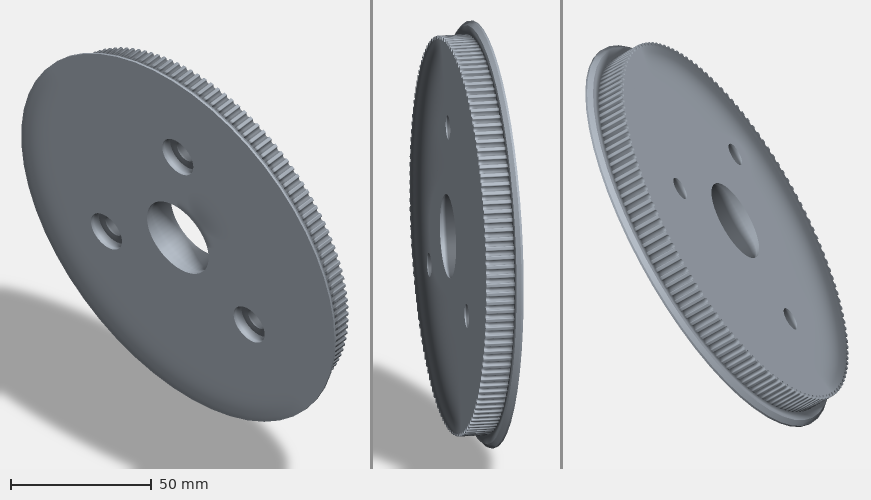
import math

import cadquery as cq

flange_diameter = 152.0
total_width = 12.5
flange_width = 2.3
flange_chamfer = 1.5

tooth_count = 135
rim_diameter = 142.5
rim_radius = rim_diameter / 2
groove_depth = 1.4
groove_radius = 0.9
tip_radius = 0.33

bore_diameter = 30.0
screw_count = 3
screw_circle_radius = 40.0
screw_hole_diameter = 8.5
counterbore_diameter = 15.0
counterbore_depth = 4.1


def rim_point(radius, angle):
    """Point at a radius and an angle measured from +Z, in the XZ plane."""
    return radius * math.sin(angle), radius * math.cos(angle)


def toothed_outline(plane):
    """Closed rim outline: round grooves and arc lands blended by tip rounds."""
    pitch_angle = 2 * math.pi / tooth_count

    groove_centre_radius = rim_radius - groove_depth + groove_radius
    tip_centre_radius = rim_radius - tip_radius
    centre_distance = groove_radius + tip_radius
    tip_angle = math.acos(
        (groove_centre_radius**2 + tip_centre_radius**2 - centre_distance**2)
        / (2 * groove_centre_radius * tip_centre_radius)
    )

    floor = cq.Vector(0, rim_radius - groove_depth)
    groove_centre = cq.Vector(0, groove_centre_radius)
    tip_centre = cq.Vector(*rim_point(tip_centre_radius, tip_angle))
    to_groove = (groove_centre - tip_centre).normalized()
    to_rim = tip_centre.normalized()
    groove_end = tip_centre + to_groove * tip_radius
    tip_middle = tip_centre + (to_groove + to_rim).normalized() * tip_radius
    land_edge = tip_centre + to_rim * tip_radius

    def turned(point, angle, side=1):
        """Groove point, mirrored if side is -1, turned about the pulley axis."""
        return rim_point(point.Length, angle + side * math.atan2(point.x, point.y))

    outline = plane.moveTo(*turned(land_edge, 0, -1))
    for tooth in range(tooth_count):
        angle = tooth * pitch_angle
        next_angle = angle + pitch_angle
        land_middle = rim_point(rim_radius, angle + pitch_angle / 2)
        outline = outline.threePointArc(turned(tip_middle, angle, -1), turned(groove_end, angle, -1))
        outline = outline.threePointArc(turned(floor, angle), turned(groove_end, angle))
        outline = outline.threePointArc(turned(tip_middle, angle), turned(land_edge, angle))
        outline = outline.threePointArc(land_middle, turned(land_edge, next_angle, -1))
    return outline.close()


def back_of(y):
    """XZ workplane at the given Y whose extrusions run towards -Y."""
    return cq.Workplane("XZ", origin=(0, y, 0))


flange = (
    back_of(flange_width)
    .circle(flange_diameter / 2)
    .extrude(flange_width)
    .faces(">Y")
    .chamfer(flange_chamfer)
)

rim = toothed_outline(back_of(total_width)).extrude(total_width)

body = flange.union(rim)

bore = back_of(total_width).circle(bore_diameter / 2).extrude(total_width)

screw_points = [
    rim_point(screw_circle_radius, 2 * math.pi * index / screw_count)
    for index in range(screw_count)
]
screw_holes = (
    back_of(total_width).pushPoints(screw_points).circle(screw_hole_diameter / 2).extrude(total_width)
)
counterbores = (
    back_of(counterbore_depth)
    .pushPoints(screw_points)
    .circle(counterbore_diameter / 2)
    .extrude(counterbore_depth)
)

result = body.cut(bore).cut(screw_holes).cut(counterbores)